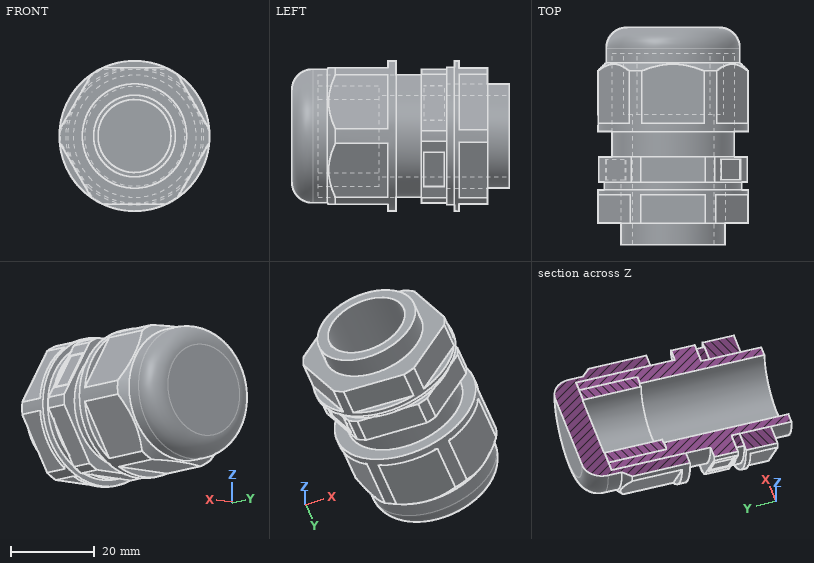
import cadquery as cq
import math


LOCKNUT_START = 5.15
FLANGE_START = 11.95
GASKET_START = 13.1
HEX_START = 15.0
HEX_END = 21.0
NUT_START = 27.05
NUT_FLATS_START = 29.0
SEAL_START = 31.2
NUT_CAVITY_END = 45.75
NUT_END = 52.0

STUB_RADIUS = 12.5
NECK_RADIUS = 14.65
BORE_RADIUS = 9.8
BODY_HEX_FLATS = 32.05
BODY_CORNER_RADIUS = 17.8
PANEL_LENGTH = 9.4
PANEL_WIDTH = 5.0
PANEL_DEPTH = 0.25
PANEL_ANGLES = (60, 240)

NUT_RADIUS = 18.0
LOCKNUT_FLATS = 32.55
NUT_FLATS = 32.7
DOME_RADIUS = 16.0
DOME_FILLET = 5.0
DOME_BASE = 43.5
CORNER_CHAMFER = NUT_RADIUS - DOME_RADIUS

GASKET_RADIUS = 16.5
SEAL_OUTER_RADIUS = 11.95
SEAL_BORE_RADIUS = 8.75


def axial(start):
    """Workplane across the axis at `start`, extruding toward +Y, with local x along +X."""
    return cq.Workplane(cq.Plane(origin=(0, start, 0), xDir=(1, 0, 0), normal=(0, 1, 0)))


def cylinder(start, end, radius):
    return axial(start).circle(radius).extrude(end - start)


def hex_prism(start, end, across_flats):
    """Hexagonal prism with two flats facing +Z and -Z."""
    corner_diameter = across_flats / math.cos(math.pi / 6)
    return axial(start).polygon(6, corner_diameter).extrude(end - start)


def rounded_hex(start, end, across_flats, corner_radius):
    """Hexagonal prism whose corners are turned down to `corner_radius`."""
    return hex_prism(start, end, across_flats).intersect(cylinder(start, end, corner_radius))


def marking_panel(angle):
    """Block that sinks a rectangular panel into the body hexagon's flat at `angle`."""
    return (
        cq.Workplane("XY")
        .box(PANEL_LENGTH, PANEL_WIDTH, 2 * PANEL_DEPTH)
        .translate((0, (HEX_START + HEX_END) / 2, BODY_HEX_FLATS / 2))
        .rotate((0, 0, 0), (0, 1, 0), angle)
    )


def make_gland_body():
    body = cylinder(0, HEX_START, STUB_RADIUS)
    body = body.union(rounded_hex(HEX_START, HEX_END, BODY_HEX_FLATS, BODY_CORNER_RADIUS))
    body = body.union(cylinder(HEX_END, NUT_CAVITY_END, NECK_RADIUS))
    body = body.cut(cylinder(0, SEAL_START, BORE_RADIUS))
    body = body.cut(cylinder(SEAL_START, NUT_CAVITY_END, SEAL_OUTER_RADIUS))
    for angle in PANEL_ANGLES:
        body = body.cut(marking_panel(angle))
    return body


def make_locknut():
    hexagon = rounded_hex(LOCKNUT_START, FLANGE_START, LOCKNUT_FLATS, NUT_RADIUS)
    flange = cylinder(FLANGE_START, GASKET_START, NUT_RADIUS)
    return hexagon.union(flange).cut(cylinder(LOCKNUT_START, GASKET_START, STUB_RADIUS))


def make_gasket():
    ring = cylinder(GASKET_START, HEX_START, GASKET_RADIUS)
    return ring.cut(cylinder(GASKET_START, HEX_START, STUB_RADIUS))


def make_seal():
    sleeve = cylinder(SEAL_START, NUT_CAVITY_END, SEAL_OUTER_RADIUS)
    return sleeve.cut(cylinder(SEAL_START, NUT_CAVITY_END, SEAL_BORE_RADIUS))


def make_clamping_nut():
    grip = cylinder(NUT_START, DOME_BASE, NUT_RADIUS).faces(">Y").chamfer(CORNER_CHAMFER)
    beyond_flats = cylinder(NUT_FLATS_START, DOME_BASE, 2 * NUT_RADIUS).cut(
        hex_prism(NUT_FLATS_START, DOME_BASE, NUT_FLATS)
    )
    dome = cylinder(DOME_BASE, NUT_END, DOME_RADIUS).faces(">Y").edges().fillet(DOME_FILLET)
    cavity = cylinder(NUT_START, NUT_CAVITY_END, NECK_RADIUS)
    return grip.cut(beyond_flats).union(dome).cut(cavity)


gland_body = make_gland_body()
locknut = make_locknut()
gasket = make_gasket()
seal = make_seal()
clamping_nut = make_clamping_nut()

result = cq.Compound.makeCompound(
    [gland_body.val(), locknut.val(), gasket.val(), seal.val(), clamping_nut.val()]
)